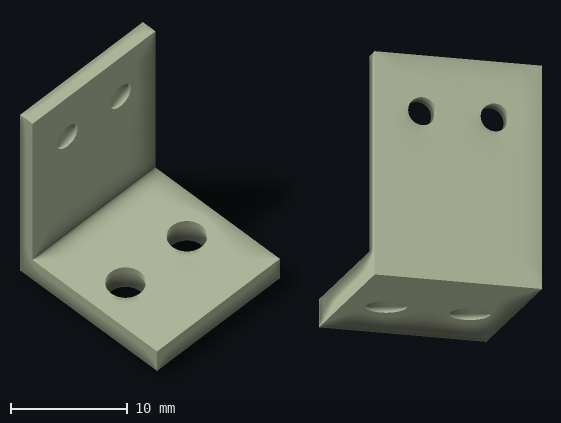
import cadquery as cq

length = 16.5
width = 15.0
height = 20.0
wall_thickness = 1.5
base_thickness = 2.5

base_hole_diameter = 3.5
base_hole_spacing = width / 2
base_hole_x = 9.0

wall_hole_diameter = 2.5
wall_hole_spacing = 6.5
wall_hole_z = 15.0


def make_plate(size_x, size_z):
    """Plate with a corner edge on the Y axis, centred across the width."""
    return cq.Workplane("XY").box(size_x, width, size_z, centered=(False, True, False))


def pair_along_y(spacing):
    """Y positions of two holes placed symmetrically about the mid-plane."""
    return (-spacing / 2, spacing / 2)


base = make_plate(length, base_thickness)
wall = make_plate(wall_thickness, height)
bracket = base.union(wall)

base_hole_centers = [(base_hole_x, y) for y in pair_along_y(base_hole_spacing)]
base_holes = (
    cq.Workplane("XY")
    .pushPoints(base_hole_centers)
    .circle(base_hole_diameter / 2)
    .extrude(base_thickness)
)

wall_hole_centers = [(y, wall_hole_z) for y in pair_along_y(wall_hole_spacing)]
wall_holes = (
    cq.Workplane("YZ")
    .pushPoints(wall_hole_centers)
    .circle(wall_hole_diameter / 2)
    .extrude(wall_thickness)
)

result = bracket.cut(base_holes).cut(wall_holes)